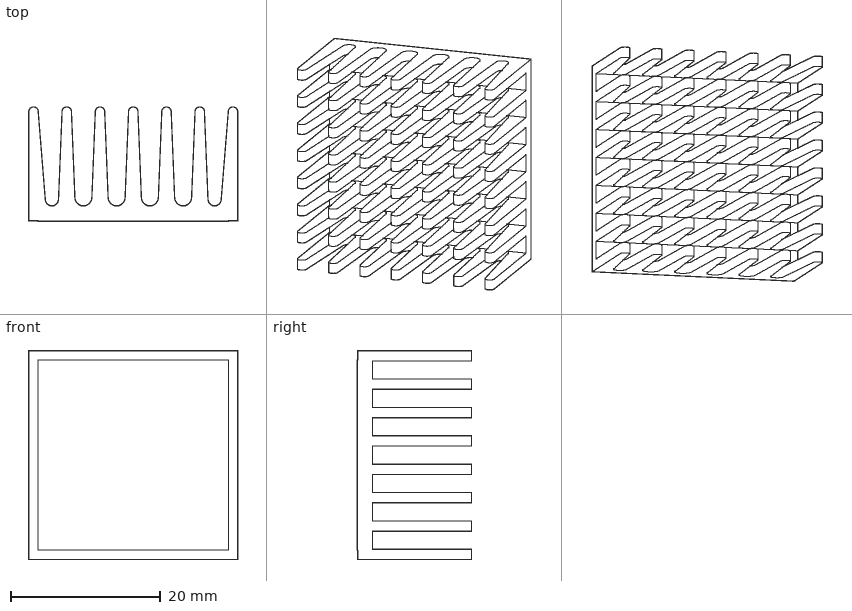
import cadquery as cq
import math

side = 27.95
total_depth = 15.3
pad_thickness = 0.08
pad_side = 25.4
base_thickness = 2.0

fin_pitch = 4.45
inner_fin_count = 5
tip_radius = 0.65
slot_radius = 1.12
end_slot_radius = 0.87
end_slot_x = 10.87

pin_rows = 8
pin_width = 1.4

depth = total_depth - pad_thickness
row_pitch = (side - pin_width) / (pin_rows - 1)
row_gap = row_pitch - pin_width


def point_on_circle(center, radius, angle):
    return (
        center[0] + radius * math.cos(angle),
        center[1] + radius * math.sin(angle),
    )


def flank_tilt(tip_center, slot_center, slot_round):
    """Angle from the Y axis of the line tangent to a fin tip and a slot floor."""
    across = abs(slot_center[0] - tip_center[0])
    along = tip_center[1] - slot_center[1]
    distance = math.hypot(across, along)
    return math.atan2(across, along) - math.asin((tip_radius + slot_round) / distance)


def fin_tips():
    """Centres of the tip rounds, from -X to +X."""
    tip_y = depth - tip_radius
    outer_x = side / 2 - tip_radius
    inner_start = -fin_pitch * (inner_fin_count - 1) / 2
    inner = [(inner_start + i * fin_pitch, tip_y) for i in range(inner_fin_count)]
    return [(-outer_x, tip_y)] + inner + [(outer_x, tip_y)]


def slot_rounds(tips):
    """Centre and radius of each slot floor round, from -X to +X."""
    end_y = base_thickness + end_slot_radius
    inner_y = base_thickness + slot_radius
    inner_tips = tips[1:-1]
    inner = [
        (((left[0] + right[0]) / 2, inner_y), slot_radius)
        for left, right in zip(inner_tips, inner_tips[1:])
    ]
    first = ((-end_slot_x, end_y), end_slot_radius)
    last = ((end_slot_x, end_y), end_slot_radius)
    return [first] + inner + [last]


def finned_body():
    """Comb outline made of tip and floor rounds joined by tangent flanks."""
    tips = fin_tips()
    slots = slot_rounds(tips)
    outline = (
        cq.Workplane("XY")
        .moveTo(-side / 2, 0)
        .lineTo(-side / 2, tips[0][1])
    )
    for i, (slot, radius) in enumerate(slots):
        left_tip = tips[i]
        right_tip = tips[i + 1]
        left_tilt = flank_tilt(left_tip, slot, radius)
        right_tilt = flank_tilt(right_tip, slot, radius)
        outline = (
            outline
            .threePointArc(
                point_on_circle(left_tip, tip_radius, math.pi / 2),
                point_on_circle(left_tip, tip_radius, left_tilt),
            )
            .lineTo(*point_on_circle(slot, radius, math.pi + left_tilt))
            .threePointArc(
                point_on_circle(slot, radius, -math.pi / 2),
                point_on_circle(slot, radius, -right_tilt),
            )
            .lineTo(*point_on_circle(right_tip, tip_radius, math.pi - right_tilt))
        )
    outline = (
        outline
        .threePointArc(
            point_on_circle(tips[-1], tip_radius, math.pi / 2),
            (side / 2, tips[-1][1]),
        )
        .lineTo(side / 2, 0)
        .close()
    )
    return outline.extrude(side / 2, both=True)


def cross_cuts():
    """Flat-floored channels along X between neighbouring pin rows."""
    first_z = -row_pitch * (pin_rows - 2) / 2
    centers = [(0, first_z + i * row_pitch) for i in range(pin_rows - 1)]
    return (
        cq.Workplane("XZ", origin=(0, base_thickness, 0))
        .pushPoints(centers)
        .rect(side, row_gap)
        .extrude(-(depth - base_thickness))
    )


def pad():
    """Thin square pad standing proud of the flat -Y face."""
    return cq.Workplane("XZ").rect(pad_side, pad_side).extrude(pad_thickness)


result = finned_body().cut(cross_cuts()).union(pad())